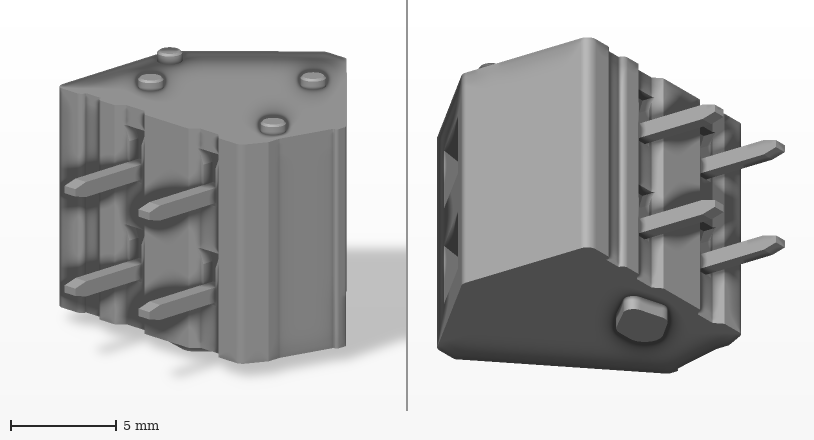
import cadquery as cq
import math

WIDTH = 14.1
OVERALL_DEPTH = 16.8
DEPTH = 12.8
HEIGHT = 11.0
PITCH = 4.99

ROW_Z = [2.87, 2.87 + PITCH]
PIN_X = [5.0, 5.0 + PITCH]

LEFT_EAVE_Y = 7.48
RIGHT_EAVE_Y = 5.5
LEDGE_Y = 4.87
LEDGE_X = 13.88
FLANK_X = 13.12
FLANK_TOP_Y = 2.0
FLANK_BOTTOM_Y = 1.26
FRONT_RIGHT_X = 12.47
MAIN_ROUND = 0.5
FRONT_RIGHT_ROUND = 0.44
RIDGE_ROUND = 0.2
LIP_ROUND = 0.15
LEDGE_ROUND = 0.07

RELIEF_LEFT = 1.78
RELIEF_RIGHT = 2.79
RELIEF_DEPTH = 0.3
CHANNEL_DEPTH = 0.4
CHANNEL_FLOOR = 1.21

SLOT_WIDTH = 0.82
SLOT_MOUTH = 1.43
SLOT_DEPTH = 0.6
SLOT_BELOW = 0.55
SLOT_FLARE_START = 1.38
SLOT_TOP = 2.13

PIN_WIDTH = 0.72
PIN_HEIGHT = 0.75
PIN_TIP_HEIGHT = 0.37
PIN_TAPER = 0.72
PIN_REACH = OVERALL_DEPTH - DEPTH
PIN_EMBED = 0.17

ENTRY_LOW_Y = 8.37
ENTRY_HIGH_Y = 11.22
ENTRY_MOUTH_HEIGHT = 3.0
ENTRY_THROAT_HEIGHT = 1.21
ENTRY_FUNNEL_DEPTH = 0.9
ENTRY_WALL_TAPER = 19.0
ENTRY_DEPTH = 1.36
ENTRY_FLAT = 1.65
ENTRY_FLOOR_TILT = 10.0

STUD_CENTERS = [(1.11, 6.59), (8.6, 8.77), (3.31, 3.12), (12.11, 2.59)]
STUD_DIAMETER = 1.21
STUD_HEIGHT = 0.5
STUD_CHAMFER = 0.1

KEY_HEIGHT = 0.69
KEY_CORNERS = [
    ((5.36, 1.68), 0.5),
    ((7.86, 1.0), 0.7),
    ((10.67, 3.78), 0.87),
    ((7.32, 3.78), 0.87),
]


def round_corner(solid, corner, radius, z):
    """Fillet the upright edge that stands at a plan corner."""
    edge = cq.selectors.NearestToPointSelector((corner[0], corner[1], z))
    return solid.edges("|Z").edges(edge).fillet(radius)


def make_housing():
    half_floor = CHANNEL_FLOOR / 2
    half_mouth = half_floor + CHANNEL_DEPTH

    outline = cq.Workplane("XY").moveTo(0, 0).lineTo(RELIEF_LEFT - RELIEF_DEPTH, 0)
    outline = outline.radiusArc((RELIEF_LEFT, RELIEF_DEPTH), -RELIEF_DEPTH)
    outline = outline.lineTo(RELIEF_RIGHT, RELIEF_DEPTH)
    outline = outline.radiusArc((RELIEF_RIGHT + RELIEF_DEPTH, 0), -RELIEF_DEPTH)
    for x in PIN_X:
        outline = outline.lineTo(x - half_mouth, 0)
        outline = outline.lineTo(x - half_floor, CHANNEL_DEPTH)
        outline = outline.lineTo(x + half_floor, CHANNEL_DEPTH)
        outline = outline.lineTo(x + half_mouth, 0)

    front_right = (FRONT_RIGHT_X, 0)
    ledge_inner = (LEDGE_X, LEDGE_Y)
    lip_corner = (WIDTH, LEDGE_Y)
    right_eave = (WIDTH, RIGHT_EAVE_Y)
    ridge_right = (WIDTH - (DEPTH - RIGHT_EAVE_Y), DEPTH)
    ridge_left = (DEPTH - LEFT_EAVE_Y, DEPTH)
    left_eave = (0, LEFT_EAVE_Y)
    outline = outline.lineTo(*front_right).lineTo(FLANK_X, FLANK_BOTTOM_Y)
    outline = outline.lineTo(FLANK_X, FLANK_TOP_Y).lineTo(*ledge_inner)
    outline = outline.lineTo(*lip_corner).lineTo(*right_eave)
    outline = outline.lineTo(*ridge_right).lineTo(*ridge_left).lineTo(*left_eave)
    housing = outline.close().extrude(HEIGHT)

    rounds = [
        ((0, 0), MAIN_ROUND),
        (left_eave, MAIN_ROUND),
        (ridge_left, MAIN_ROUND),
        (ridge_right, RIDGE_ROUND),
        (right_eave, RIDGE_ROUND),
        (lip_corner, LIP_ROUND),
        (ledge_inner, LEDGE_ROUND),
        (front_right, FRONT_RIGHT_ROUND),
    ]
    for corner, radius in rounds:
        housing = round_corner(housing, corner, radius, HEIGHT / 2)
    return housing


def make_slot(x, z):
    profile = [
        (-SLOT_WIDTH / 2, -SLOT_BELOW),
        (SLOT_WIDTH / 2, -SLOT_BELOW),
        (SLOT_WIDTH / 2, SLOT_FLARE_START),
        (SLOT_MOUTH / 2, SLOT_TOP),
        (-SLOT_MOUTH / 2, SLOT_TOP),
        (-SLOT_WIDTH / 2, SLOT_FLARE_START),
    ]
    plane = cq.Workplane("XZ", origin=(x, 0, z))
    return plane.polyline(profile).close().extrude(-(CHANNEL_DEPTH + SLOT_DEPTH))


def make_pin(x, z):
    half = PIN_HEIGHT / 2
    half_tip = PIN_TIP_HEIGHT / 2
    root_y = CHANNEL_DEPTH + SLOT_DEPTH + PIN_EMBED
    side = [
        (root_y, -half),
        (root_y, half),
        (PIN_TAPER - PIN_REACH, half),
        (-PIN_REACH, half_tip),
        (-PIN_REACH, -half_tip),
        (PIN_TAPER - PIN_REACH, -half),
    ]
    plane = cq.Workplane("YZ", origin=(x, 0, z))
    return plane.polyline(side).close().extrude(PIN_WIDTH / 2, both=True)


def make_entry(z):
    """Funnel narrowing into a throat with a kinked floor."""
    origin = (ENTRY_LOW_Y - LEFT_EAVE_Y, ENTRY_LOW_Y, z)
    inward = (1, -1, 0)
    length = (ENTRY_HIGH_Y - ENTRY_LOW_Y) * math.sqrt(2)
    half_mouth = ENTRY_MOUTH_HEIGHT / 2
    half_throat = ENTRY_THROAT_HEIGHT / 2
    slope = math.tan(math.radians(ENTRY_WALL_TAPER))

    throat_end = length - ENTRY_DEPTH * slope
    kink = throat_end - ENTRY_FLAT
    low_depth = ENTRY_DEPTH + kink * math.tan(math.radians(ENTRY_FLOOR_TILT))
    plan_plane = cq.Plane(origin=origin, xDir=inward, normal=(0, 0, 1))
    plan_outline = [
        (0, 0),
        (low_depth, 0),
        (ENTRY_DEPTH, kink),
        (ENTRY_DEPTH, throat_end),
        (0, length),
    ]
    plan = cq.Workplane(plan_plane).polyline(plan_outline).close()
    plan = plan.extrude(half_mouth, both=True)

    section_plane = cq.Plane(origin=origin, xDir=inward, normal=(1, 1, 0))
    section_outline = [
        (0, -half_mouth),
        (ENTRY_FUNNEL_DEPTH, -half_throat),
        (low_depth, -half_throat),
        (low_depth, half_throat),
        (ENTRY_FUNNEL_DEPTH, half_throat),
        (0, half_mouth),
    ]
    section = cq.Workplane(section_plane).polyline(section_outline).close()
    return plan.intersect(section.extrude(length))


def make_studs():
    studs = cq.Workplane("XY", origin=(0, 0, HEIGHT)).pushPoints(STUD_CENTERS)
    studs = studs.circle(STUD_DIAMETER / 2).extrude(STUD_HEIGHT)
    return studs.faces(">Z").chamfer(STUD_CHAMFER)


def make_key():
    corners = [corner for corner, radius in KEY_CORNERS]
    key = cq.Workplane("XY").polyline(corners).close().extrude(-KEY_HEIGHT)
    for corner, radius in KEY_CORNERS:
        key = round_corner(key, corner, radius, -KEY_HEIGHT / 2)
    return key


result = make_housing()
for row_z in ROW_Z:
    result = result.cut(make_entry(row_z))
    for pin_x in PIN_X:
        result = result.cut(make_slot(pin_x, row_z))
        result = result.union(make_pin(pin_x, row_z))
result = result.union(make_studs()).union(make_key())